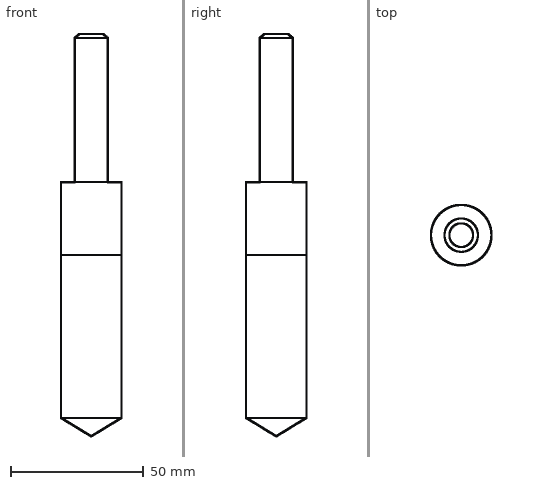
import cadquery as cq

total_length = 152.4
body_diameter = 23.0
stem_diameter = 12.6

cone_height = 7.0
joint_height = 68.7
shoulder_height = 96.3

chamfer_width = 1.8
chamfer_height = 1.5

body_radius = body_diameter / 2
stem_radius = stem_diameter / 2


def make_tip():
    """Lower cylinder with a conical point, revolved about Z."""
    return (
        cq.Workplane("XZ")
        .moveTo(0, 0)
        .lineTo(body_radius, cone_height)
        .lineTo(body_radius, joint_height)
        .lineTo(0, joint_height)
        .close()
        .revolve(360, (0, 0), (0, 1))
    )


def make_holder():
    """Upper cylinder with a chamfered stem, revolved about Z."""
    return (
        cq.Workplane("XZ")
        .moveTo(0, joint_height)
        .lineTo(body_radius, joint_height)
        .lineTo(body_radius, shoulder_height)
        .lineTo(stem_radius, shoulder_height)
        .lineTo(stem_radius, total_length - chamfer_height)
        .lineTo(stem_radius - chamfer_width, total_length)
        .lineTo(0, total_length)
        .close()
        .revolve(360, (0, 0), (0, 1))
    )


tip = make_tip()
holder = make_holder()

result = cq.Compound.makeCompound([tip.val(), holder.val()])